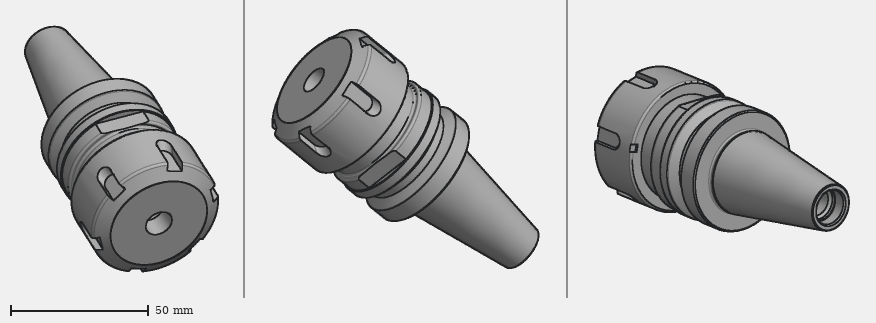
import cadquery as cq
import math

ARC_MID_OFFSET = 1 - math.sqrt(0.5)

LENGTH = 108.4

NOSE_RADIUS = 17.7 / 2
NOSE_CHAMFER = 0.3
TAPER_END_X = 48.5
TAPER_RATIO = 7 / 48
NECK_RADIUS = 31.1 / 2
NECK_FILLET = 0.7

FLANGE_RADIUS = 46.0 / 2
FLANGE_START_X = 50.4
FLANGE_END_X = 70.0
FLANGE_CHAMFER = 0.5
REAR_EDGE_CHAMFER = 0.2
GROOVE_RADIUS = 38.0 / 2
GROOVE_START_X = 60.3
GROOVE_END_X = 63.5
GROOVE_WALL_ANGLE = 30.0
GROOVE_RIM_CHAMFER = 0.3

COLLAR_RADIUS = 22.4
COLLAR_END_X = 76.3
COLLAR_ROUND = 1.0
COLLAR_FOOT_X = COLLAR_END_X + COLLAR_ROUND
FLAT_HEIGHT = 20.4

SPIGOT_RADIUS = 40.0 / 2
SPIGOT_END_X = 99.7

BORE_RADIUS = 10.3 / 2
THREAD_RADIUS = 12.5 / 2
PILOT_RADIUS = 13.1 / 2
PILOT_DEPTH = 5.4
THREAD_DEPTH = 6.7
BORE_CONE_LENGTH = 1.1
MOUTH_CHAMFER = 0.4
MOUTH_CHAMFER_LENGTH = 0.9

NUT_RADIUS = 50.0 / 2
NUT_START_X = 84.2
NUT_BACK_FILLET = 0.9
NUT_FACE_RADIUS = 38.0 / 2
NUT_CONE_START_X = 104.8
NUT_CONE_END_X = 108.2
NUT_SHOULDER_FILLET = 1.3

SLOT_COUNT = 6
SLOT_FIRST_ANGLE = 48.4
SLOT_WIDTH = 6.1
SLOT_FLOOR_RADIUS = 22.2
SHORT_SLOT_X = 95.4
LONG_SLOT_X = 93.9
LONG_SLOTS = (1, 2, 3)
CUT_MARGIN = 1.1

NOTCH_WIDTH = 2.9
NOTCH_ANGLE = SLOT_FIRST_ANGLE + 2 * 360 / SLOT_COUNT
NOTCH_FLOOR_RADIUS = 22.2


def revolve_profile(points):
    """Revolve (X, radius) points about the X axis."""
    return cq.Workplane("XY").polyline(points).close().revolve(360, (0, 0, 0), (1, 0, 0))


def cylinder(radius, start_x, end_x):
    return cq.Workplane("YZ", origin=(start_x, 0, 0)).circle(radius).extrude(end_x - start_x)


def make_outer_body():
    taper_end_radius = NOSE_RADIUS + TAPER_END_X * TAPER_RATIO
    chamfer_radius = NOSE_RADIUS + NOSE_CHAMFER * TAPER_RATIO
    rim_radius = FLANGE_RADIUS - GROOVE_RIM_CHAMFER
    wall_run = (rim_radius - GROOVE_RADIUS) * math.tan(math.radians(GROOVE_WALL_ANGLE))
    fillet_mid = NECK_FILLET * ARC_MID_OFFSET
    round_mid = COLLAR_ROUND * ARC_MID_OFFSET
    profile = (
        cq.Workplane("XY")
        .moveTo(0, 0)
        .lineTo(0, NOSE_RADIUS - NOSE_CHAMFER)
        .lineTo(NOSE_CHAMFER, chamfer_radius)
        .lineTo(TAPER_END_X, taper_end_radius)
        .lineTo(TAPER_END_X, NECK_RADIUS)
        .lineTo(FLANGE_START_X - NECK_FILLET, NECK_RADIUS)
        .threePointArc(
            (FLANGE_START_X - fillet_mid, NECK_RADIUS + fillet_mid),
            (FLANGE_START_X, NECK_RADIUS + NECK_FILLET),
        )
        .lineTo(FLANGE_START_X, FLANGE_RADIUS - FLANGE_CHAMFER)
        .lineTo(FLANGE_START_X + FLANGE_CHAMFER, FLANGE_RADIUS)
        .lineTo(GROOVE_START_X - wall_run - GROOVE_RIM_CHAMFER, FLANGE_RADIUS)
        .lineTo(GROOVE_START_X - wall_run, rim_radius)
        .lineTo(GROOVE_START_X, GROOVE_RADIUS)
        .lineTo(GROOVE_END_X, GROOVE_RADIUS)
        .lineTo(GROOVE_END_X + wall_run, rim_radius)
        .lineTo(GROOVE_END_X + wall_run + GROOVE_RIM_CHAMFER, FLANGE_RADIUS)
        .lineTo(FLANGE_END_X - REAR_EDGE_CHAMFER, FLANGE_RADIUS)
        .lineTo(FLANGE_END_X, FLANGE_RADIUS - REAR_EDGE_CHAMFER)
        .lineTo(FLANGE_END_X, COLLAR_RADIUS)
        .lineTo(COLLAR_END_X - COLLAR_ROUND, COLLAR_RADIUS)
        .threePointArc(
            (COLLAR_END_X - round_mid, COLLAR_RADIUS - round_mid),
            (COLLAR_END_X, COLLAR_RADIUS - COLLAR_ROUND),
        )
        .lineTo(COLLAR_END_X, SPIGOT_RADIUS + COLLAR_ROUND)
        .threePointArc(
            (COLLAR_END_X + round_mid, SPIGOT_RADIUS + round_mid),
            (COLLAR_FOOT_X, SPIGOT_RADIUS),
        )
        .lineTo(SPIGOT_END_X, SPIGOT_RADIUS)
        .lineTo(SPIGOT_END_X, 0)
        .close()
    )
    return profile.revolve(360, (0, 0, 0), (1, 0, 0))


def cut_wrench_flats(body):
    cut_height = COLLAR_RADIUS - FLAT_HEIGHT + CUT_MARGIN
    for side in (1, -1):
        cutter = cq.Workplane("XY").box(
            COLLAR_FOOT_X - FLANGE_END_X, 2 * COLLAR_RADIUS, cut_height
        ).translate((
            (FLANGE_END_X + COLLAR_FOOT_X) / 2, 0, side * (FLAT_HEIGHT + cut_height / 2)
        ))
        body = body.cut(cutter)
    return body


def make_holder():
    bore = revolve_profile([
        (0, 0),
        (0, PILOT_RADIUS + MOUTH_CHAMFER),
        (MOUTH_CHAMFER_LENGTH, PILOT_RADIUS),
        (PILOT_DEPTH, PILOT_RADIUS),
        (PILOT_DEPTH, THREAD_RADIUS),
        (THREAD_DEPTH, THREAD_RADIUS),
        (THREAD_DEPTH + BORE_CONE_LENGTH, BORE_RADIUS),
        (SPIGOT_END_X, BORE_RADIUS),
        (SPIGOT_END_X, 0),
    ])
    return cut_wrench_flats(make_outer_body()).cut(bore)


def make_slot_cutter(end_x, angle):
    """Round-ended slot whose end wall leans 45 degrees toward the back of the nut."""
    half_width = SLOT_WIDTH / 2
    depth = NUT_RADIUS - SLOT_FLOOR_RADIUS + CUT_MARGIN
    far_x = LENGTH + depth + CUT_MARGIN
    arc_x = end_x + half_width
    outline = (
        cq.Workplane("XY", origin=(0, 0, SLOT_FLOOR_RADIUS))
        .moveTo(far_x, half_width)
        .lineTo(arc_x, half_width)
        .threePointArc((end_x, 0), (arc_x, -half_width))
        .lineTo(far_x, -half_width)
        .close()
        .val()
    )
    cutter = cq.Solid.extrudeLinear(outline, [], cq.Vector(-depth, 0, depth))
    return turn_from_top(cq.Workplane(obj=cutter), angle)


def turn_from_top(shape, angle):
    """Turn a cutter from +Z to an angle measured about X from -Y toward +Z."""
    return shape.rotate((0, 0, 0), (1, 0, 0), 90 - angle)


def make_notch_cutter():
    height = NUT_RADIUS - NOTCH_FLOOR_RADIUS + CUT_MARGIN
    notch = cq.Workplane("XY").box(
        NUT_BACK_FILLET, NOTCH_WIDTH, height, centered=(False, True, False)
    ).translate((NUT_START_X, 0, NOTCH_FLOOR_RADIUS))
    return turn_from_top(notch, NOTCH_ANGLE)


def make_nut():
    nut = revolve_profile([
        (NUT_START_X, 0),
        (NUT_START_X, NUT_RADIUS),
        (NUT_CONE_START_X, NUT_RADIUS),
        (NUT_CONE_END_X, NUT_FACE_RADIUS),
        (LENGTH, NUT_FACE_RADIUS),
        (LENGTH, 0),
    ])
    nut = nut.faces("<X").edges().fillet(NUT_BACK_FILLET)
    shoulder = cq.selectors.RadiusNthSelector(-1)
    nut = nut.edges(cq.selectors.BoxSelector(
        (NUT_CONE_START_X - CUT_MARGIN, -LENGTH, -LENGTH),
        (NUT_CONE_START_X + CUT_MARGIN, LENGTH, LENGTH),
    )).edges(shoulder).fillet(NUT_SHOULDER_FILLET)
    nut = nut.cut(cylinder(SPIGOT_RADIUS, NUT_START_X, SPIGOT_END_X))
    nut = nut.cut(cylinder(BORE_RADIUS, SPIGOT_END_X, LENGTH))
    for index in range(SLOT_COUNT):
        end_x = LONG_SLOT_X if index in LONG_SLOTS else SHORT_SLOT_X
        nut = nut.cut(make_slot_cutter(end_x, SLOT_FIRST_ANGLE + index * 360 / SLOT_COUNT))
    return nut.cut(make_notch_cutter())


holder = make_holder()
nut = make_nut()
result = cq.Compound.makeCompound([holder.val(), nut.val()])